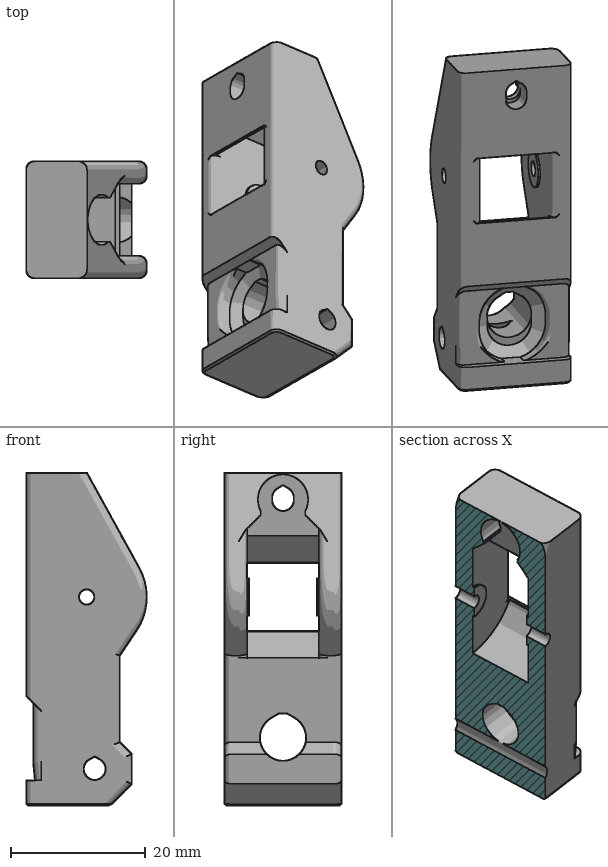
import cadquery as cq
import math

HEIGHT = 49.4
DEPTH = 17.95
WIDTH = 17.4
EDGE_RADIUS = 1.25
BOTTOM_CHAMFER = 0.3

PIN_X = 9.0
PIN_Z = 30.95
PIN_DIAMETER = 2.2
KNUCKLE_RADIUS = DEPTH - PIN_X
LEVER_RADIUS = 10.0
LEVER_WIDTH = 10.65
LEDGE_X = 13.2
LEDGE_Z = 21.95
LIP_X = 0.45
PIN_BOSS_RADIUS = 2.8
PIN_BOSS_HEIGHT = 0.3

TOP_DEPTH = 9.05
WAIST_X = 13.95
WAIST_TOP_Z = 22.3
WAIST_BOTTOM_Z = 9.45
FOOT_X = 15.7
FOOT_TOP_Z = WAIST_BOTTOM_Z - (FOOT_X - WAIST_X)
FOOT_BOTTOM_Z = 3.2
FOOT_START_X = FOOT_X - FOOT_BOTTOM_Z

HOLE_ROOF_ANGLE = 30

WINDOW_HEIGHT = 10.1
WINDOW_CORNER = 0.45

ROOF_TOP_WIDTH = 6.55
ROOF_TOP_Z = 43.2
ROOF_KINK_WIDTH = 11.15
ROOF_KINK_Z = ROOF_TOP_Z - (ROOF_KINK_WIDTH - ROOF_TOP_WIDTH) / 2
ROOF_EAVES_Z = 39.2
SCREW_HEAD_DIAMETER = 7.45
SCREW_HEAD_Z = 45.45
SCREW_HEAD_SEAT_X = 4.95
SCREW_SLOT_WIDTH = 3.15
SCREW_Z = 45.75
SCREW_SLOT_DROP = 0.95
SCREW_HOLE_DROP = 0.4
SCREW_SLOT_DEPTH = 3.45
ROOF_MERGE_Z = SCREW_HEAD_Z - math.sqrt(SCREW_HEAD_DIAMETER**2 - ROOF_TOP_WIDTH**2) / 2

RECESS_DEPTH = 1.05
RECESS_TOP_Z = 16.3
RECESS_BOTTOM_Z = 3.75
RECESS_TAPER_Z = 6.4
RECESS_TAPER_DEPTH = 1.3

MOUNT_DIAMETER = 6.8
MOUNT_Z = 10.1
MOUNT_DROP = 1.25
HEAD_DIAMETER = 10.55
HEAD_ROOF_FLAT = 2.2
HEAD_WALL_END_X = 3.05
CONE_DEPTH = 1
RIM_RADIUS = 0.55

CROSS_X = 10.2
CROSS_Z = 5.45
CROSS_DIAMETER = 3.2

SMALL = 0.005


def tangent_point(x, z, side):
    """Point where a line from (x, z) touches the knuckle; side picks one of the two."""
    distance = math.hypot(x - PIN_X, z - PIN_Z)
    angle = math.atan2(z - PIN_Z, x - PIN_X) + side * math.acos(KNUCKLE_RADIUS / distance)
    return PIN_X + KNUCKLE_RADIUS * math.cos(angle), PIN_Z + KNUCKLE_RADIUS * math.sin(angle)


def across(sketch, width):
    """Extrude an XZ sketch symmetrically about the middle plane."""
    return sketch.extrude(width / 2, both=True)


def front_plane(x):
    """Sketch plane facing +X at depth x, with local axes Y and Z."""
    return cq.Workplane("YZ", origin=(x, 0, 0))


def upright_slot(plane, diameter, drop):
    """Upright slot outline whose upper end centre is the origin of the plane."""
    return plane.center(0, -drop / 2).slot2D(diameter + drop, diameter, 90)


def roofed_outline(plane, diameter, drop=0, flat=0):
    """Round outline with a low gable roof, cut level to the given flat and stretched down by drop."""
    radius = diameter / 2
    angle = math.radians(HOLE_ROOF_ANGLE)
    eaves_x = radius * math.sin(angle)
    eaves_z = radius * math.cos(angle)
    top_z = radius / math.cos(angle) - flat / 2 * math.tan(angle)
    outline = plane.moveTo(-flat / 2, top_z)
    if flat > 0:
        outline = outline.lineTo(flat / 2, top_z)
    outline = outline.lineTo(eaves_x, eaves_z).radiusArc((radius, 0), radius)
    if drop > 0:
        outline = outline.lineTo(radius, -drop)
    outline = outline.threePointArc((0, -drop - radius), (-radius, -drop))
    if drop > 0:
        outline = outline.lineTo(-radius, 0)
    return outline.radiusArc((-eaves_x, eaves_z), radius).close()


def in_plane(y, front_x):
    """Selector for edges at the given Y behind front_x, without those on the top and bottom."""
    return cq.selectors.BoxSelector(
        (front_x - SMALL, y - SMALL, SMALL), (DEPTH + SMALL, y + SMALL, HEIGHT - SMALL))


def back_block(front_x, width, bottom_z, top_z):
    """Box reaching from front_x out through the back."""
    block = cq.Workplane("XY", origin=(front_x, 0, bottom_z))
    return block.box(DEPTH, width, top_z - bottom_z, centered=(False, True, False))


def make_block():
    """Solid block with the knuckle and foot outline and rounded side edges."""
    upper = tangent_point(TOP_DEPTH, HEIGHT, -1)
    lower = tangent_point(WAIST_X, WAIST_TOP_Z, 1)
    outline = (
        cq.Workplane("XZ")
        .moveTo(0, 0)
        .lineTo(0, HEIGHT)
        .lineTo(TOP_DEPTH, HEIGHT)
        .lineTo(*upper)
        .threePointArc((DEPTH, PIN_Z), lower)
        .lineTo(WAIST_X, WAIST_TOP_Z)
        .lineTo(WAIST_X, WAIST_BOTTOM_Z)
        .lineTo(FOOT_X, FOOT_TOP_Z)
        .lineTo(FOOT_X, FOOT_BOTTOM_Z)
        .lineTo(FOOT_START_X, 0)
        .close()
    )
    block = across(outline, WIDTH)
    block = block.edges(in_plane(WIDTH / 2, 0) + in_plane(-WIDTH / 2, 0)).fillet(EDGE_RADIUS)
    return block.faces("<Z").edges("not >X").chamfer(BOTTOM_CHAMFER)


def make_lever_space():
    """Round space for the lever, open at the back, under a roof that falls to both sides."""
    width = LEVER_WIDTH + 2 * EDGE_RADIUS
    swing = across(cq.Workplane("XZ").center(PIN_X, PIN_Z).circle(LEVER_RADIUS), width)
    ledge = back_block(LEDGE_X, width, LEDGE_Z, PIN_Z)
    under_roof = back_block(SCREW_HEAD_SEAT_X, width, PIN_Z, SCREW_HEAD_Z)
    roof = (
        front_plane(LIP_X)
        .moveTo(-width / 2, 0)
        .lineTo(-width / 2, ROOF_EAVES_Z)
        .lineTo(-ROOF_KINK_WIDTH / 2, ROOF_KINK_Z)
        .lineTo(-ROOF_TOP_WIDTH / 2, ROOF_TOP_Z)
        .lineTo(-ROOF_TOP_WIDTH / 2, ROOF_MERGE_Z)
        .lineTo(ROOF_TOP_WIDTH / 2, ROOF_MERGE_Z)
        .lineTo(ROOF_TOP_WIDTH / 2, ROOF_TOP_Z)
        .lineTo(ROOF_KINK_WIDTH / 2, ROOF_KINK_Z)
        .lineTo(width / 2, ROOF_EAVES_Z)
        .lineTo(width / 2, 0)
        .close()
        .extrude(DEPTH)
    )
    return swing.union(ledge).union(under_roof).intersect(roof)


def make_arms(block):
    """The two side walls alone, with their inner back edges rounded."""
    inner = LEVER_WIDTH / 2
    middle = cq.Workplane("XY").box(2 * DEPTH, LEVER_WIDTH, HEIGHT, centered=(True, True, False))
    arms = block.cut(middle)
    return arms.edges(in_plane(inner, TOP_DEPTH) + in_plane(-inner, TOP_DEPTH)).fillet(EDGE_RADIUS)


def make_pin_bosses():
    """Low round pads on the inner sides of the arms."""
    pads = across(cq.Workplane("XZ").center(PIN_X, PIN_Z).circle(PIN_BOSS_RADIUS), LEVER_WIDTH)
    return pads.cut(back_block(-0.5, LEVER_WIDTH - 2 * PIN_BOSS_HEIGHT, 0, HEIGHT))


def make_window():
    """Opening in the front wall whose sides flare out towards the front."""
    half = LEVER_WIDTH / 2
    flare = half + EDGE_RADIUS
    plan = (
        cq.Workplane("XY", origin=(0, 0, PIN_Z - WINDOW_HEIGHT / 2))
        .moveTo(0, -flare)
        .radiusArc((EDGE_RADIUS, -half), EDGE_RADIUS)
        .lineTo(EDGE_RADIUS, half)
        .radiusArc((0, flare), EDGE_RADIUS)
        .close()
        .extrude(WINDOW_HEIGHT)
    )
    mouth = front_plane(0).center(0, PIN_Z).rect(2 * flare, WINDOW_HEIGHT).extrude(EDGE_RADIUS)
    return plan.intersect(mouth.edges("|X").chamfer(WINDOW_CORNER))


def make_adjusting_hole():
    """Screw hole above the lever space: slot at the front, round head seat at the back."""
    start = front_plane(0).center(0, SCREW_Z)
    slot = roofed_outline(start, SCREW_SLOT_WIDTH, SCREW_SLOT_DROP).extrude(SCREW_SLOT_DEPTH)
    hole = roofed_outline(start, SCREW_SLOT_WIDTH, SCREW_HOLE_DROP).extrude(DEPTH)
    seat = front_plane(SCREW_HEAD_SEAT_X).center(0, SCREW_HEAD_Z)
    head = seat.circle(SCREW_HEAD_DIAMETER / 2).extrude(DEPTH)
    return slot.union(hole).union(head)


def make_recess():
    """Shallow recess across the front, sloped at its top, around a floor with rounded sides."""
    depth = RECESS_DEPTH + EDGE_RADIUS
    opening = (
        cq.Workplane("XZ")
        .moveTo(-0.5, RECESS_BOTTOM_Z)
        .lineTo(-0.5, RECESS_TOP_Z + 0.5)
        .lineTo(depth, RECESS_TOP_Z - depth)
        .lineTo(depth, RECESS_BOTTOM_Z)
        .close()
    )
    floor = (
        cq.Workplane("XZ")
        .moveTo(RECESS_TAPER_DEPTH, RECESS_BOTTOM_Z)
        .lineTo(RECESS_DEPTH, RECESS_TAPER_Z)
        .lineTo(RECESS_DEPTH, RECESS_TOP_Z)
        .lineTo(DEPTH, RECESS_TOP_Z)
        .lineTo(DEPTH, RECESS_BOTTOM_Z)
        .close()
    )
    floor = across(floor, WIDTH)
    front_sides = cq.selectors.BoxSelector(
        (0, -WIDTH, RECESS_BOTTOM_Z + SMALL), (EDGE_RADIUS + 0.5, WIDTH, RECESS_TOP_Z - SMALL))
    floor = floor.edges("<Y or >Y").edges(front_sides).fillet(EDGE_RADIUS)
    return across(opening, 2 * WIDTH).cut(floor)


def make_mounting_hole():
    """Countersunk hole whose head seat is stretched downwards."""
    start = front_plane(RECESS_DEPTH).center(0, MOUNT_Z)
    wall_depth = HEAD_WALL_END_X - RECESS_DEPTH
    wall = roofed_outline(start, HEAD_DIAMETER, MOUNT_DROP, HEAD_ROOF_FLAT).extrude(wall_depth)

    cone_run = (HEAD_DIAMETER - MOUNT_DIAMETER) / 2
    cone_taper = math.degrees(math.atan2(cone_run, CONE_DEPTH))
    cone_start = front_plane(HEAD_WALL_END_X).center(0, MOUNT_Z)
    cone = roofed_outline(cone_start, HEAD_DIAMETER, MOUNT_DROP, HEAD_ROOF_FLAT)
    cone = cone.extrude(CONE_DEPTH, taper=cone_taper)

    rim_size = HEAD_DIAMETER + 2 * RIM_RADIUS
    mouth = upright_slot(start, HEAD_DIAMETER, MOUNT_DROP).extrude(wall_depth)
    collar = upright_slot(start, 2 * rim_size, MOUNT_DROP).extrude(2 * RIM_RADIUS).cut(mouth)
    collar = collar.faces("<X").edges().fillet(RIM_RADIUS)
    rim = upright_slot(start, rim_size, MOUNT_DROP).extrude(RIM_RADIUS).cut(collar)

    hole_flat = HEAD_ROOF_FLAT - 2 * cone_run * math.tan(math.radians(HOLE_ROOF_ANGLE / 2))
    hole = roofed_outline(start, MOUNT_DIAMETER, flat=hole_flat).extrude(DEPTH)
    recess_floor = back_block(RECESS_DEPTH, WIDTH, RECESS_BOTTOM_Z, RECESS_TOP_Z - RECESS_DEPTH)
    return wall.union(cone).union(rim).union(hole).intersect(recess_floor)


def make_cross_hole():
    """Hole across the foot with a slightly pointed roof."""
    start = cq.Workplane("XZ").center(CROSS_X, CROSS_Z)
    return across(roofed_outline(start, CROSS_DIAMETER), 2 * WIDTH)


block = make_block()
body = block.cut(make_lever_space()).union(make_arms(block)).union(make_pin_bosses())
pin_hole = across(cq.Workplane("XZ").center(PIN_X, PIN_Z).circle(PIN_DIAMETER / 2), 2 * WIDTH)
result = (
    body.cut(make_window())
    .cut(make_recess())
    .cut(make_adjusting_hole())
    .cut(make_mounting_hole())
    .cut(make_cross_hole())
    .cut(pin_hole)
)